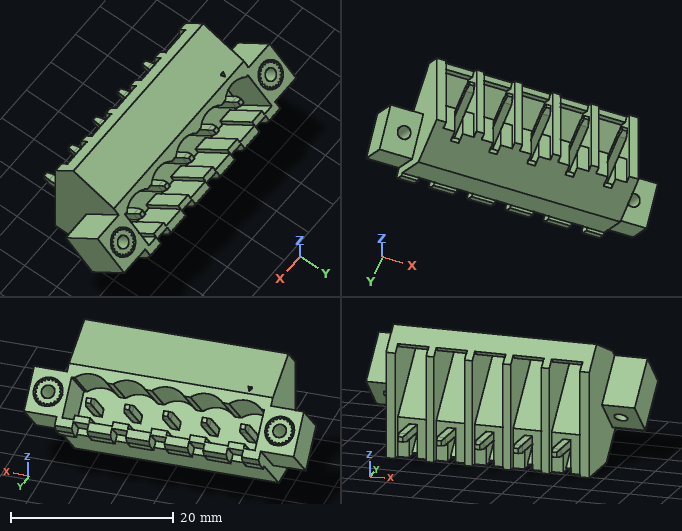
import cadquery as cq
import math


POLES = 5
PITCH = 5.0
POLE_X = [(i - (POLES - 1) / 2) * PITCH for i in range(POLES)]

LENGTH = 35.0
BODY_LENGTH = 26.45
HEIGHT = 16.5
BACK_HEIGHT = 13.65
MOUTH_U = 16.17
ROOF_V = 3.3
BASE_V = -4.75

LIP_V = -5.15
LIP_LENGTH = 3.0
LIP_CHAMFER = 1.0

AXIS_V = -0.7
FLANGE_WIDTH = 5.85
FLANGE_DEPTH = 7.05
INSERT_X = 15.0
SCREW_RADIUS = 0.85
INSERT_RADIUS = 1.85
KNURL_TIP_RADIUS = 1.8
KNURL_ROOT_RADIUS = 1.5
KNURL_TEETH = 20
KNURL_DEPTH = 1.0

CAVITY_LENGTH = 25.0
CAVITY_DEPTH = FLANGE_DEPTH
CAVITY_BOTTOM_V = -3.65
CAVITY_TOP_V = 1.6
SOCKET_RADIUS = 3.1
KEY_WIDTH = 2.0
KEY_TOP_V = -3.08
KEY_GROOVE_V = -3.92

BAY_WIDTH = 4.0
BAY_INSET = 0.95
BAY_FLOOR_V = 2.98
BACK_WALL = 0.77
ROOF_DROP = 0.95

PIN_SIZE = 1.0
PIN_TIP_SIZE = 0.63
PIN_TAPER = 0.95
PIN_Z = 3.9
PIN_PROTRUSION = 4.0
CONTACT_RECESS = 1.15
SLOT_LEDGE = 0.35

MARK_APEX_Y = 8.68
MARK_SIZE = 0.52
MARK_DEPTH = 0.1

ROOT2 = math.sqrt(2)
BACK_V = BACK_HEIGHT / ROOT2
RIDGE = (HEIGHT - BACK_HEIGHT, HEIGHT)


def tilted(u, v):
    """(Y, Z) of a point given along the tilted axes."""
    return ((u - v) / ROOT2, (u + v) / ROOT2)


ROOF_FRONT = tilted(MOUTH_U, ROOF_V)
ROOF_SLOPE = (ROOF_FRONT[1] - RIDGE[1]) / (ROOF_FRONT[0] - RIDGE[0])


def prism(points, width, center_x=0.0):
    """A YZ outline extruded along X, centred on center_x."""
    outline = cq.Workplane("YZ", origin=(center_x, 0, 0)).polyline(points).close()
    return outline.extrude(width / 2, both=True)


def mouth_plane(x=0.0, v=0.0, depth=0.0):
    """Workplane parallel to the mouth: local x is X, local y is v, and it extrudes inwards."""
    y, z = tilted(MOUTH_U - depth, v)
    return cq.Workplane(cq.Plane(origin=(x, y, z), xDir=(1, 0, 0), normal=(0, -1, -1)))


def mouth_block(width, v_low, v_high, depth, x=0.0):
    """A block reaching from the mouth face inwards."""
    plane = mouth_plane(x, (v_low + v_high) / 2)
    return plane.rect(width, v_high - v_low).extrude(depth)


def housing():
    lip_start_u = MOUTH_U - LIP_LENGTH
    outline = [
        (0, 0),
        tilted(-BASE_V, BASE_V),
        tilted(lip_start_u, BASE_V),
        tilted(lip_start_u, LIP_V),
        tilted(MOUTH_U - LIP_CHAMFER, LIP_V),
        tilted(MOUTH_U, BASE_V),
        ROOF_FRONT,
        RIDGE,
        (0, BACK_HEIGHT),
    ]
    return prism(outline, BODY_LENGTH)


def flanges():
    half_width = FLANGE_WIDTH / 2
    return mouth_block(LENGTH, AXIS_V - half_width, AXIS_V + half_width, FLANGE_DEPTH)


def insert_cut(x):
    """Screw hole through a flange, and the knurled gap around its threaded insert."""
    plane = mouth_plane(x, AXIS_V)
    knurl = []
    for i in range(2 * KNURL_TEETH):
        radius = KNURL_ROOT_RADIUS if i % 2 else KNURL_TIP_RADIUS
        angle = i * math.pi / KNURL_TEETH
        knurl.append((radius * math.cos(angle), radius * math.sin(angle)))
    insert = plane.polyline(knurl).close().extrude(KNURL_DEPTH)
    gap = plane.circle(INSERT_RADIUS).extrude(KNURL_DEPTH).cut(insert)
    return gap.union(plane.circle(SCREW_RADIUS).extrude(FLANGE_DEPTH))


def cavity():
    """Mouth cavity: scalloped along the top, with a key standing on its bottom at each pole."""
    opening = mouth_block(CAVITY_LENGTH, CAVITY_BOTTOM_V, CAVITY_TOP_V, CAVITY_DEPTH)
    scallop_limit = mouth_block(CAVITY_LENGTH, AXIS_V, AXIS_V + SOCKET_RADIUS, CAVITY_DEPTH)
    for x in POLE_X:
        socket = mouth_plane(x, AXIS_V).circle(SOCKET_RADIUS).extrude(CAVITY_DEPTH)
        opening = opening.union(socket.intersect(scallop_limit))
    for x in POLE_X:
        opening = opening.cut(mouth_block(KEY_WIDTH, CAVITY_BOTTOM_V, KEY_TOP_V, CAVITY_DEPTH, x))
    return opening


def key_groove(x):
    """Notch that interrupts the lip beneath a key."""
    return mouth_block(KEY_WIDTH, LIP_V, KEY_GROOVE_V, LIP_LENGTH, x)


def bay(x):
    """Pocket that follows the back wall and the roof, open on the board side."""
    ceiling_v = BACK_V - BACK_WALL
    floor_rise = BAY_FLOOR_V * ROOT2
    ceiling_rise = ceiling_v * ROOT2
    ceiling_at_zero = RIDGE[1] - ROOF_SLOPE * RIDGE[0] - ROOF_DROP
    apex_y = (ceiling_at_zero - floor_rise) / (1 - ROOF_SLOPE)
    corner_y = (ceiling_at_zero - ceiling_rise) / (1 - ROOF_SLOPE)
    wall_end_y = BAY_INSET + BACK_WALL / ROOT2
    outline = [
        (0, 0),
        (BAY_INSET, 0),
        (BAY_INSET, BAY_INSET + floor_rise),
        (apex_y, apex_y + floor_rise),
        (corner_y, corner_y + ceiling_rise),
        (wall_end_y, wall_end_y + ceiling_rise),
        (BAY_INSET, BAY_INSET + BACK_HEIGHT),
        (0, BACK_HEIGHT),
    ]
    return prism(outline, BAY_WIDTH, x)


def pole_mark(x):
    """Shallow triangular recess in the roof, pointing towards the mouth."""
    base_y = MARK_APEX_Y - MARK_SIZE
    triangle = [(x - MARK_SIZE / 2, base_y), (x + MARK_SIZE / 2, base_y), (x, MARK_APEX_Y)]
    column = cq.Workplane("XY").polyline(triangle).close().extrude(HEIGHT)
    skin = [
        ROOF_FRONT,
        RIDGE,
        (RIDGE[0], RIDGE[1] - MARK_DEPTH),
        (ROOF_FRONT[0], ROOF_FRONT[1] - MARK_DEPTH),
    ]
    return column.intersect(prism(skin, BODY_LENGTH))


def pin_slot(x):
    """Slot under a pin, ending on a ramp in line with the underside of the tilted contact."""
    top = PIN_Z - PIN_SIZE / 2
    ramp_rise = (AXIS_V - PIN_SIZE / 2) * ROOT2
    ledge_y = SLOT_LEDGE - ramp_rise
    outline = [
        (BAY_INSET, 0),
        (ledge_y + SLOT_LEDGE, 0),
        (ledge_y, SLOT_LEDGE),
        (top - ramp_rise, top),
        (BAY_INSET, top),
    ]
    return prism(outline, PIN_SIZE, x)


def tapered_bar(tip_plane, length):
    """Square bar that starts at its tapered tip and runs along the plane's normal."""
    tip = tip_plane.rect(PIN_TIP_SIZE, PIN_TIP_SIZE)
    tip = tip.workplane(offset=PIN_TAPER).rect(PIN_SIZE, PIN_SIZE).loft(ruled=True)
    shank = tip_plane.workplane(offset=PIN_TAPER).rect(PIN_SIZE, PIN_SIZE)
    return tip.union(shank.extrude(length - PIN_TAPER))


def pin(x):
    """Board pin and tilted contact, meeting at a bend inside the housing."""
    bend_y = PIN_Z - AXIS_V * ROOT2
    bend_u = (bend_y + PIN_Z) / ROOT2
    board_tip = cq.Plane(origin=(x, -PIN_PROTRUSION, PIN_Z), xDir=(1, 0, 0), normal=(0, 1, 0))
    board_pin = tapered_bar(cq.Workplane(board_tip), PIN_PROTRUSION + bend_y)
    contact_tip = mouth_plane(x, AXIS_V, CONTACT_RECESS)
    contact = tapered_bar(contact_tip, MOUTH_U - CONTACT_RECESS - bend_u)
    return board_pin.union(contact)


result = housing().union(flanges())
for side in (-1, 1):
    result = result.cut(insert_cut(side * INSERT_X))
result = result.cut(cavity()).cut(pole_mark(POLE_X[0]))
for pole_x in POLE_X:
    result = result.cut(key_groove(pole_x)).cut(bay(pole_x)).cut(pin_slot(pole_x))
for pole_x in POLE_X:
    result = result.union(pin(pole_x))